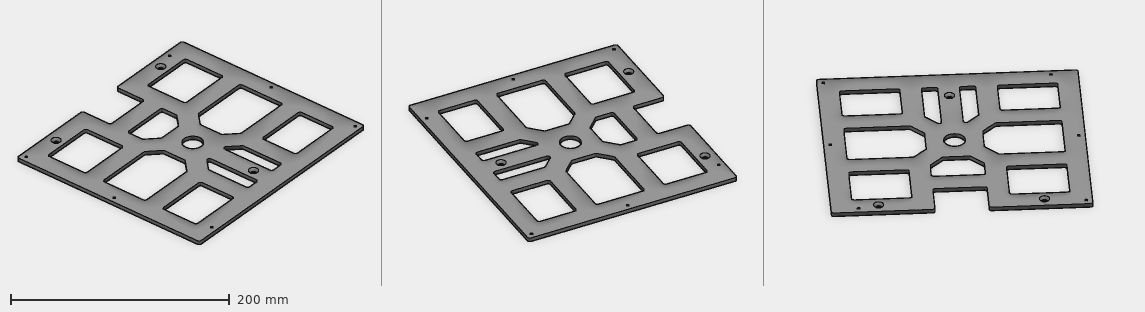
import cadquery as cq
import math

length_x = 215.0
width_y = 240.0
thickness = 4.0
hub_to_left_edge = 110.0
corner_radius = 2.5

rib = 20.0
hub_hole_diameter = 20.0
hub_half_size = 26.6

middle_window_width = 50.2
notch_depth = 33.0
notch_width = 49.7

screw_hole_diameter = 4.3
countersink_diameter = 9.4
countersink_angle = 90
left_screw_inset = 10.5
left_screw_offset = 76.0
right_screw_x = 71.5

pin_hole_diameter = 2.5
pin_inset = 6.0
staggered_pin_inset = 25.2

left_edge = -hub_to_left_edge
right_edge = length_x - hub_to_left_edge
top_edge = width_y / 2
notch_half = notch_width / 2
notch_floor = left_edge + notch_depth
middle_half = middle_window_width / 2
diagonal_offset = rib / math.sqrt(2)


def rounded_prism(points):
    """Full-thickness prism over a closed outline, its upright edges rounded."""
    prism = cq.Workplane("XY").polyline(points).close().extrude(thickness)
    return prism.edges("|Z").fillet(corner_radius)


def rectangle(x_min, x_max, y_min, y_max):
    """Corner points of a rectangle."""
    return [(x_min, y_min), (x_max, y_min), (x_max, y_max), (x_min, y_max)]


def plate():
    """Plate with the notch in its left edge, all corners rounded."""
    return rounded_prism([
        (left_edge, -top_edge),
        (right_edge, -top_edge),
        (right_edge, top_edge),
        (left_edge, top_edge),
        (left_edge, notch_half),
        (notch_floor, notch_half),
        (notch_floor, -notch_half),
        (left_edge, -notch_half),
    ])


def upper_windows():
    """The three windows above the hub: two rectangles and a bevelled one between them."""
    y_max = top_edge - rib
    y_min = notch_half + rib
    bevel_y = middle_half + diagonal_offset
    bevel_x = hub_half_size - diagonal_offset
    middle = [
        (-middle_half, y_max),
        (-middle_half, bevel_y),
        (-bevel_x, hub_half_size),
        (bevel_x, hub_half_size),
        (middle_half, bevel_y),
        (middle_half, y_max),
    ]
    left = rectangle(left_edge + rib, -middle_half - rib, y_min, y_max)
    right = rectangle(middle_half + rib, right_edge - rib, y_min, y_max)
    return rounded_prism(middle).union(rounded_prism(left)).union(rounded_prism(right))


def left_window():
    """Window between the notch and the hub, bevelled towards the hub."""
    x_min = notch_floor + rib
    bevel_x = -notch_half - diagonal_offset
    bevel_y = hub_half_size - diagonal_offset
    return rounded_prism([
        (x_min, -notch_half),
        (bevel_x, -notch_half),
        (-hub_half_size, -bevel_y),
        (-hub_half_size, bevel_y),
        (bevel_x, notch_half),
        (x_min, notch_half),
    ])


def right_slot():
    """Slot above the right-hand rib, tapered to a rounded tip by a diagonal rib."""
    x_max = right_edge - rib
    y_min = rib / 2
    return rounded_prism([
        (y_min + diagonal_offset, y_min),
        (x_max, y_min),
        (x_max, notch_half),
        (notch_half + diagonal_offset, notch_half),
    ])


def top_face(body):
    """Workplane on the upper face, centred on the hub."""
    return body.faces(">Z").workplane(origin=(0, 0, thickness))


upper_openings = upper_windows().union(right_slot())
result = (
    plate()
    .cut(upper_openings)
    .cut(upper_openings.mirror("XZ"))
    .cut(left_window())
)

result = top_face(result).hole(hub_hole_diameter)

pin_y = top_edge - pin_inset
staggered_pin_y = top_edge - staggered_pin_inset
left_pin_x = left_edge + pin_inset
right_pin_x = right_edge - pin_inset
pin_centres = [
    (0, pin_y),
    (0, -pin_y),
    (right_pin_x, pin_y),
    (right_pin_x, -staggered_pin_y),
    (left_pin_x, staggered_pin_y),
    (left_pin_x, -pin_y),
]
result = top_face(result).pushPoints(pin_centres).hole(pin_hole_diameter)

left_screw_x = left_edge + left_screw_inset
screw_centres = [
    (left_screw_x, left_screw_offset),
    (left_screw_x, -left_screw_offset),
    (right_screw_x, 0),
]
result = top_face(result).pushPoints(screw_centres).cskHole(
    screw_hole_diameter, countersink_diameter, countersink_angle
)